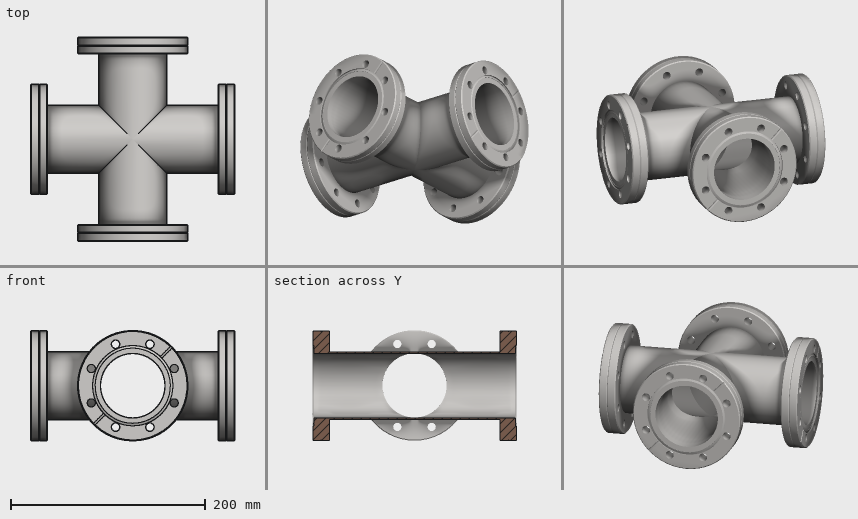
import cadquery as cq
import math


span = 210.0
half_span = span / 2
tube_outer_dia = 70.0
bore_dia = 66.0

flange_dia = 113.5
flange_thickness = 17.5
rim_chamfer = 1.0
rim_groove_width = 1.5
rim_groove_depth = 0.5

bolt_count = 8
bolt_circle_dia = 92.2
bolt_hole_dia = 8.4

seal_recess_dia = 82.5
knife_edge_dia = 77.2
knife_edge_depth = 0.6
inner_land_depth = 1.2
ramp_angle = 20.0
ramp_drop = (seal_recess_dia - knife_edge_dia) / 2 * math.tan(math.radians(ramp_angle))
seal_recess_depth = knife_edge_depth + ramp_drop

leak_groove_width = 2.4
leak_groove_depth = 0.7
leak_groove_radius = (leak_groove_width**2 / 4 + leak_groove_depth**2) / (2 * leak_groove_depth)

bolt_pitch = 360.0 / bolt_count
flange_turn = bolt_pitch / 2
leak_groove_angle = bolt_pitch / 2


def flange_blank():
    """Revolved flange body around Z without its bore, sealing face up at z = 0."""
    rim = flange_dia / 2
    seal_wall = seal_recess_dia / 2
    knife_edge = knife_edge_dia / 2
    rim_groove_middle = -flange_thickness / 2
    profile = [
        (0, -flange_thickness),
        (rim - rim_chamfer, -flange_thickness),
        (rim, -flange_thickness + rim_chamfer),
        (rim, rim_groove_middle - rim_groove_width / 2),
        (rim - rim_groove_depth, rim_groove_middle),
        (rim, rim_groove_middle + rim_groove_width / 2),
        (rim, -rim_chamfer),
        (rim - rim_chamfer, 0),
        (seal_wall, 0),
        (seal_wall, -seal_recess_depth),
        (knife_edge, -knife_edge_depth),
        (knife_edge, -inner_land_depth),
        (0, -inner_land_depth),
    ]
    return cq.Workplane("XZ").polyline(profile).close().revolve(360, (0, 0), (0, 1))


def bolt_holes():
    """Ring of clearance holes through the flange."""
    return (
        cq.Workplane("XY")
        .polarArray(bolt_circle_dia / 2, 0, 360, bolt_count)
        .circle(bolt_hole_dia / 2)
        .extrude(-flange_thickness)
    )


def leak_groove(angle):
    """Cutter for one channel running from the seal recess out to the rim."""
    inner_end = (knife_edge_dia + seal_recess_dia) / 4
    return (
        cq.Workplane("YZ", origin=(inner_end, 0, 0))
        .center(0, leak_groove_radius - leak_groove_depth)
        .circle(leak_groove_radius)
        .extrude(flange_dia / 2 - inner_end)
        .rotate((0, 0, 0), (0, 0, 1), angle)
    )


def flange():
    """Flange around Z with bolt holes and leak grooves, sealing face up at z = 0."""
    body = flange_blank().cut(bolt_holes())
    for opposite in (0, 180):
        body = body.cut(leak_groove(leak_groove_angle + opposite))
    return body.rotate((0, 0, 0), (0, 0, 1), flange_turn)


def crossing_cylinders(diameter, length):
    """Union of two centred cylinders along X and Y."""
    along_x = cq.Workplane("YZ").circle(diameter / 2).extrude(length / 2, both=True)
    along_y = cq.Workplane("XZ").circle(diameter / 2).extrude(length / 2, both=True)
    return along_x.union(along_y)


def cross():
    """Tubes and flanges joined, then bored through along both axes."""
    body = crossing_cylinders(tube_outer_dia, span - 2 * flange_thickness)
    end_flange = flange().rotate((0, 0, 0), (1, 0, 0), 90).translate((0, -half_span, 0))
    for quarter in range(4):
        body = body.union(end_flange.rotate((0, 0, 0), (0, 0, 1), 90 * quarter))
    return body.cut(crossing_cylinders(bore_dia, span))


result = cross()